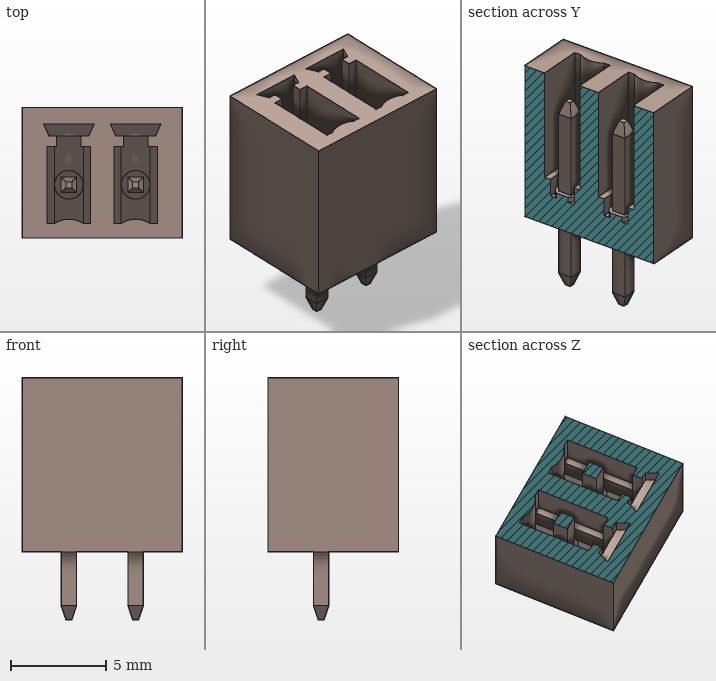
import cadquery as cq


housing_width = 8.41
housing_depth = 6.86
housing_height = 9.144
pole_pitch = 3.5
pole_count = 2

pin_size = 0.82
pin_y = -0.635
pin_tip_size = 0.32
pin_taper_length = 0.75
pin_total_length = 11.1
overall_height = 12.7
pin_projection = overall_height - housing_height

overlap = 0.2

socket_width = 2.28
socket_front_y = -2.66
socket_back_y = 1.37
ledge_depth = 6.3
floor_width = 1.52
floor_depth = 7.3
boss_diameter = 1.5
boss_height = 0.3
bulge_height = 0.22

neck_width = 1.28
keyway_front_y = 1.92
keyway_back_y = 2.56
keyway_front_width = 2.08
keyway_back_width = 2.66
keyway_depth = 5.3


def extrude_down(outline, depth):
    """Cutter from the top of the housing to the given depth."""
    return outline.extrude(-depth)


def top_plane(x):
    """Sketch plane on the top of the housing, centred on one pole."""
    return cq.Workplane("XY", origin=(x, 0, housing_height))


def socket_cutter(x):
    """Socket opening with two side ledges, front bulge, neck and deeper middle floor."""
    length = socket_back_y - socket_front_y
    middle_y = (socket_back_y + socket_front_y) / 2
    opening = extrude_down(top_plane(x).center(0, middle_y).rect(socket_width, length), ledge_depth)
    middle = extrude_down(top_plane(x).center(0, middle_y).rect(floor_width, length), floor_depth)

    neck_length = keyway_front_y - socket_back_y + overlap
    neck_y = keyway_front_y - neck_length / 2
    neck = extrude_down(top_plane(x).center(0, neck_y).rect(neck_width, neck_length), floor_depth)

    bulge_outline = (
        top_plane(x)
        .moveTo(-floor_width / 2, socket_front_y)
        .threePointArc((0, socket_front_y + bulge_height), (floor_width / 2, socket_front_y))
        .close()
    )
    bulge = extrude_down(bulge_outline, floor_depth)
    return opening.union(middle).cut(bulge).union(neck)


def keyway_cutter(x):
    """Dovetail keyway, widest at the back."""
    outline = top_plane(x).polyline([
        (-keyway_front_width / 2, keyway_front_y),
        (keyway_front_width / 2, keyway_front_y),
        (keyway_back_width / 2, keyway_back_y),
        (-keyway_back_width / 2, keyway_back_y),
    ]).close()
    return extrude_down(outline, keyway_depth)


def pin_boss(x):
    """Low round boss where the pin leaves the socket floor."""
    floor_z = housing_height - floor_depth
    return (
        cq.Workplane("XY", origin=(x, pin_y, floor_z - overlap))
        .circle(boss_diameter / 2)
        .extrude(boss_height + overlap)
    )


def pin(x):
    """Square pin with a pyramidal taper at each end."""
    shank_bottom = pin_taper_length - pin_projection
    shank_length = pin_total_length - 2 * pin_taper_length
    shank = cq.Workplane("XY", origin=(x, pin_y, shank_bottom)).rect(pin_size, pin_size).extrude(shank_length)
    for face in (">Z", "<Z"):
        taper = (
            shank.faces(face).workplane()
            .rect(pin_size, pin_size)
            .workplane(offset=pin_taper_length)
            .rect(pin_tip_size, pin_tip_size)
            .loft(combine=False)
        )
        shank = shank.union(taper)
    return shank


result = cq.Workplane("XY").box(
    housing_width, housing_depth, housing_height, centered=(True, True, False)
)
for index in range(pole_count):
    pole_x = (index - (pole_count - 1) / 2) * pole_pitch
    result = result.cut(socket_cutter(pole_x)).cut(keyway_cutter(pole_x))
    result = result.union(pin_boss(pole_x)).union(pin(pole_x))